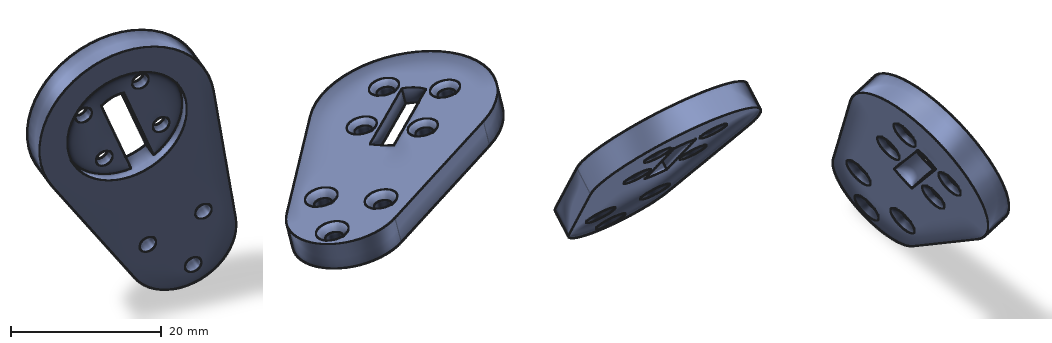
import cadquery as cq
import math

thickness = 4.0
large_radius = 12.75
small_radius = 8.0
center_distance = 23.2
axis_tilt = 20.0

slot_width = 3.5
slot_upper_radius = 4.5

recess_diameter = 17.4
recess_depth = 1.5

hole_diameter = 2.4
countersink_angle = 90.0
square_pitch = 8.8
square_countersink_diameter = 4.1
triangle_circle_radius = 5.0
triangle_countersink_diameter = 4.43

tilt = math.radians(axis_tilt)
face = cq.Plane(
    origin=(0, 0, 0),
    xDir=(0, -math.sin(tilt), math.cos(tilt)),
    normal=(-1, 0, 0),
)


def make_plate():
    """Tapered plate with a full round at each end."""
    tangent_angle = math.acos((small_radius - large_radius) / center_distance)
    along = math.cos(tangent_angle)
    across = math.sin(tangent_angle)
    return (
        cq.Workplane(face)
        .moveTo(small_radius * along, small_radius * across)
        .lineTo(center_distance + large_radius * along, large_radius * across)
        .threePointArc(
            (center_distance + large_radius, 0),
            (center_distance + large_radius * along, -large_radius * across),
        )
        .lineTo(small_radius * along, -small_radius * across)
        .threePointArc((-small_radius, 0), (small_radius * along, small_radius * across))
        .close()
        .extrude(-thickness)
    )


def make_cavity():
    """Recess on the +X face, joined to a slot that opens on the -X face."""
    half_width = slot_width / 2
    upper_corner = center_distance + math.sqrt(slot_upper_radius**2 - half_width**2)
    open_end = center_distance - recess_diameter
    strip = (
        cq.Workplane(face)
        .moveTo(open_end, half_width)
        .lineTo(upper_corner, half_width)
        .threePointArc((center_distance + slot_upper_radius, 0), (upper_corner, -half_width))
        .lineTo(open_end, -half_width)
        .close()
        .extrude(-thickness)
    )
    floor = (
        cq.Workplane(face)
        .center(center_distance, 0)
        .rect(2 * recess_diameter, 2 * recess_diameter)
        .extrude(recess_depth - thickness)
        .cut(strip)
    )
    disk = (
        cq.Workplane(face)
        .center(center_distance, 0)
        .circle(recess_diameter / 2)
        .extrude(-thickness)
    )
    return disk.cut(floor)


def drill_countersunk(body, points, countersink_diameter):
    """Drill through holes, countersunk on the -X face."""
    return (
        body.copyWorkplane(cq.Workplane(face))
        .pushPoints(points)
        .cskHole(hole_diameter, countersink_diameter, countersink_angle)
    )


half_pitch = square_pitch / 2
square_points = [
    (center_distance + along * half_pitch, across * half_pitch)
    for along in (-1, 1)
    for across in (-1, 1)
]

triangle_points = [
    (
        triangle_circle_radius * math.cos(math.radians(angle)),
        triangle_circle_radius * math.sin(math.radians(angle)),
    )
    for angle in (60, 180, 300)
]

result = make_plate().cut(make_cavity())
result = drill_countersunk(result, square_points, square_countersink_diameter)
result = drill_countersunk(result, triangle_points, triangle_countersink_diameter)